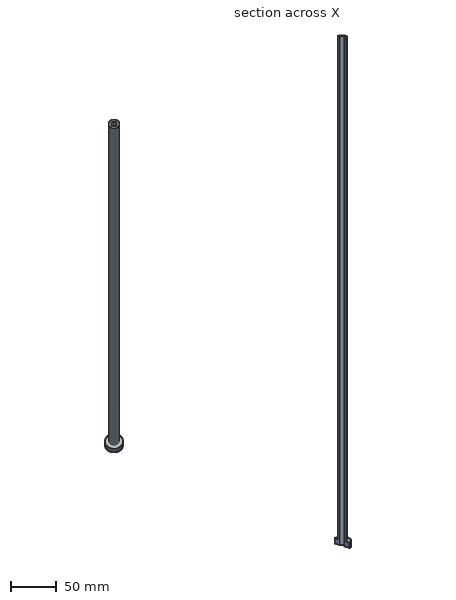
import cadquery as cq

total_length = 607.0
head_diameter = 20.0
head_height = 7.0
shaft_diameter = 12.0
bore_diameter = 6.0
root_fillet = 0.5

head_radius = head_diameter / 2
shaft_radius = shaft_diameter / 2
bore_radius = bore_diameter / 2

half_section = (
    cq.Workplane("XZ")
    .moveTo(-bore_radius, 0)
    .lineTo(-head_radius, 0)
    .lineTo(-head_radius, head_height)
    .lineTo(-shaft_radius - root_fillet, head_height)
    .radiusArc((-shaft_radius, head_height + root_fillet), -root_fillet)
    .lineTo(-shaft_radius, total_length)
    .lineTo(-bore_radius, total_length)
    .close()
)

result = half_section.revolve(360, (0, 0, 0), (0, 1, 0))